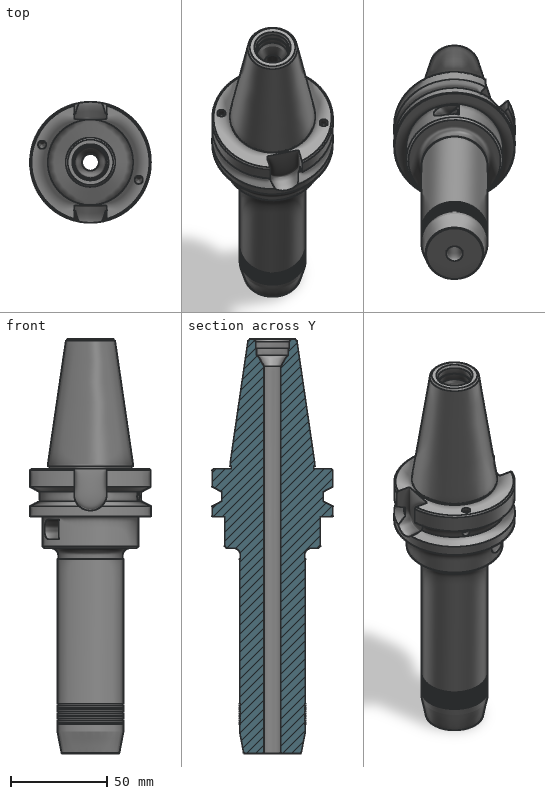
import cadquery as cq
import math

OVERALL_LENGTH = 215.5

TAPER_LENGTH = 65.5
GAUGE_RADIUS = 22.2
TAPER_RATE = 7 / 24
TAPER_EDGE = 1.0
GAUGE_LAND_TOP = 0.5
GAUGE_LAND_BOTTOM = -0.6
RELIEF_RADIUS = 21.5

FLANGE_RADIUS = 31.5
FLANGE_TOP = -2.0
FLANGE_BOTTOM = -27.0
FLANGE_TOP_EDGE = 0.9
FLANGE_BOTTOM_EDGE = 0.5
GROOVE_CENTER = -16.4
GROOVE_MOUTH = 10.0
GROOVE_FLOOR = 4.7
GROOVE_RADIUS = 26.5

COLLAR_RADIUS = 25.0
COLLAR_BOTTOM = -42.2
COLLAR_EDGE = 1.0
NECK_RADIUS = 16.8
NECK_FILLET = 3.7

BODY_RADIUS = 17.2
BODY_TOP = -48.7
BODY_EDGE = 0.2
NOSE_LENGTH = 11.6
NOSE_RADIUS = 15.0
NOSE_EDGE = 0.5
RING_COUNT = 6
RING_FIRST = -124.5
RING_PITCH = 2.0
RING_WIDTH = 0.9
RING_DEPTH = 0.5

BORE_RADIUS = 4.3
MOUTH_RADIUS = 9.5
MOUTH_DEPTH = 1.5
PILOT_RADIUS = 8.6
PILOT_DEPTH = 5.0
THREAD_RADIUS = 8.2
THREAD_DEPTH = 8.5
SEAT_RADIUS = 7.0
SEAT_DEPTH = 9.7
BORE_DEPTH = 14.2

SLOT_WIDTH = 17.0
SLOT_BOTTOM = -23.7
SLOT_FLOOR = 22.5
SLOT_FILLET = 0.9

SMALL_HOLE_RADIUS = 2.2
SMALL_HOLE_ANGLES = (160, 340)
SMALL_HOLE_CIRCLE = 26.7
SMALL_HOLE_DEPTH = 4.3
RADIAL_HOLE_RADIUS = 2.0
RADIAL_HOLE_DEPTH = 3.2

POCKET_Y = -12.7
POCKET_Z = -33.4
POCKET_RADIUS = 5.2
POCKET_FLOOR_X = -16.4

DRILL_TIP_RATIO = 0.6

TOP = TAPER_LENGTH
BOTTOM = TOP - OVERALL_LENGTH


def turned_body():
    """Solid of revolution carrying the whole outer outline."""
    top_radius = GAUGE_RADIUS - (TOP - GAUGE_LAND_TOP) * TAPER_RATE / 2
    edge_radius = top_radius + TAPER_EDGE * TAPER_RATE / 2
    collar_face = COLLAR_BOTTOM - COLLAR_EDGE
    profile = (
        cq.Workplane("XZ")
        .moveTo(0, TOP)
        .lineTo(edge_radius - TAPER_EDGE, TOP)
        .lineTo(edge_radius, TOP - TAPER_EDGE)
        .lineTo(GAUGE_RADIUS, GAUGE_LAND_TOP)
        .lineTo(GAUGE_RADIUS, GAUGE_LAND_BOTTOM)
        .lineTo(RELIEF_RADIUS, GAUGE_LAND_BOTTOM)
        .lineTo(RELIEF_RADIUS, FLANGE_TOP)
        .lineTo(FLANGE_RADIUS - FLANGE_TOP_EDGE, FLANGE_TOP)
        .lineTo(FLANGE_RADIUS, FLANGE_TOP - FLANGE_TOP_EDGE)
        .lineTo(FLANGE_RADIUS, GROOVE_CENTER + GROOVE_MOUTH / 2)
        .lineTo(GROOVE_RADIUS, GROOVE_CENTER + GROOVE_FLOOR / 2)
        .lineTo(GROOVE_RADIUS, GROOVE_CENTER - GROOVE_FLOOR / 2)
        .lineTo(FLANGE_RADIUS, GROOVE_CENTER - GROOVE_MOUTH / 2)
        .lineTo(FLANGE_RADIUS, FLANGE_BOTTOM + FLANGE_BOTTOM_EDGE)
        .lineTo(FLANGE_RADIUS - FLANGE_BOTTOM_EDGE, FLANGE_BOTTOM)
        .lineTo(COLLAR_RADIUS, FLANGE_BOTTOM)
        .lineTo(COLLAR_RADIUS, COLLAR_BOTTOM)
        .lineTo(COLLAR_RADIUS - COLLAR_EDGE, collar_face)
        .lineTo(NECK_RADIUS + NECK_FILLET, collar_face)
        .radiusArc((NECK_RADIUS, collar_face - NECK_FILLET), -NECK_FILLET)
        .lineTo(NECK_RADIUS, BODY_TOP)
        .lineTo(BODY_RADIUS - BODY_EDGE, BODY_TOP)
        .lineTo(BODY_RADIUS, BODY_TOP - BODY_EDGE)
        .lineTo(BODY_RADIUS, BOTTOM + NOSE_LENGTH)
        .lineTo(NOSE_RADIUS, BOTTOM + NOSE_EDGE)
        .lineTo(NOSE_RADIUS - NOSE_EDGE, BOTTOM)
        .lineTo(0, BOTTOM)
        .close()
    )
    return profile.revolve(360, (0, 0, 0), (0, 1, 0))


def ring_grooves():
    """Row of narrow rings turned into the body above the nose."""
    rings = cq.Workplane("XY")
    for index in range(RING_COUNT):
        ring = (
            cq.Workplane("XY")
            .workplane(offset=RING_FIRST - index * RING_PITCH - RING_WIDTH / 2)
            .circle(BODY_RADIUS + RING_DEPTH)
            .circle(BODY_RADIUS - RING_DEPTH)
            .extrude(RING_WIDTH)
        )
        rings = rings.add(ring)
    return rings.combine()


def stepped_bore():
    """Through bore that widens upwards in two cones, two short cylinders and a chamfered mouth."""
    profile = (
        cq.Workplane("XZ")
        .moveTo(0, TOP)
        .lineTo(MOUTH_RADIUS, TOP)
        .lineTo(PILOT_RADIUS, TOP - MOUTH_DEPTH)
        .lineTo(PILOT_RADIUS, TOP - PILOT_DEPTH)
        .lineTo(THREAD_RADIUS, TOP - PILOT_DEPTH)
        .lineTo(THREAD_RADIUS, TOP - THREAD_DEPTH)
        .lineTo(SEAT_RADIUS, TOP - SEAT_DEPTH)
        .lineTo(BORE_RADIUS, TOP - BORE_DEPTH)
        .lineTo(BORE_RADIUS, BOTTOM)
        .lineTo(0, BOTTOM)
        .close()
    )
    return profile.revolve(360, (0, 0, 0), (0, 1, 0))


def drive_slot():
    """Slot with a round lower end and a filleted floor, cut in from the -Y side."""
    half_width = SLOT_WIDTH / 2
    arc_center = SLOT_BOTTOM + half_width
    slot = (
        cq.Workplane("XZ", origin=(0, -SLOT_FLOOR, 0))
        .moveTo(-half_width, FLANGE_TOP)
        .lineTo(-half_width, arc_center)
        .threePointArc((0, SLOT_BOTTOM), (half_width, arc_center))
        .lineTo(half_width, FLANGE_TOP)
        .close()
        .extrude(FLANGE_RADIUS - SLOT_FLOOR)
    )
    return slot.faces(">Y").edges("not >Z").fillet(SLOT_FILLET)


def drilled_hole(radius, depth, mouth, direction):
    """Blind hole whose end is a drill cone."""
    cylinder = cq.Solid.makeCylinder(radius, depth, mouth, direction)
    tip_length = radius * DRILL_TIP_RATIO
    tip = cq.Solid.makeCone(radius, 0, tip_length, mouth + direction * depth, direction)
    return cq.Workplane(cylinder).union(cq.Workplane(tip))


def flange_holes(angle):
    """Hole in the flange top and a radial hole in the groove floor below it, both blind."""
    outward = cq.Vector(math.cos(math.radians(angle)), math.sin(math.radians(angle)), 0)
    top_mouth = outward * SMALL_HOLE_CIRCLE + cq.Vector(0, 0, FLANGE_TOP)
    groove_mouth = outward * GROOVE_RADIUS + cq.Vector(0, 0, GROOVE_CENTER)
    axial = drilled_hole(SMALL_HOLE_RADIUS, SMALL_HOLE_DEPTH, top_mouth, cq.Vector(0, 0, -1))
    radial = drilled_hole(RADIAL_HOLE_RADIUS, RADIAL_HOLE_DEPTH, groove_mouth, -outward)
    return axial.add(radial).combine()


def screw_pocket():
    """Drilled hole along X, opened towards -Y."""
    length = COLLAR_RADIUS + POCKET_FLOOR_X
    mouth = cq.Vector(-COLLAR_RADIUS, POCKET_Y, POCKET_Z)
    hole = drilled_hole(POCKET_RADIUS, length, mouth, cq.Vector(1, 0, 0))
    opening = (
        cq.Workplane("XY")
        .box(length, COLLAR_RADIUS + POCKET_Y, 2 * POCKET_RADIUS, centered=(False, False, True))
        .translate((-COLLAR_RADIUS, -COLLAR_RADIUS, POCKET_Z))
    )
    return opening.union(hole)


result = turned_body().cut(ring_grooves()).cut(stepped_bore()).cut(screw_pocket())
for turn in (0, 180):
    result = result.cut(drive_slot().rotate((0, 0, 0), (0, 0, 1), turn))
for hole_angle in SMALL_HOLE_ANGLES:
    result = result.cut(flange_holes(hole_angle))